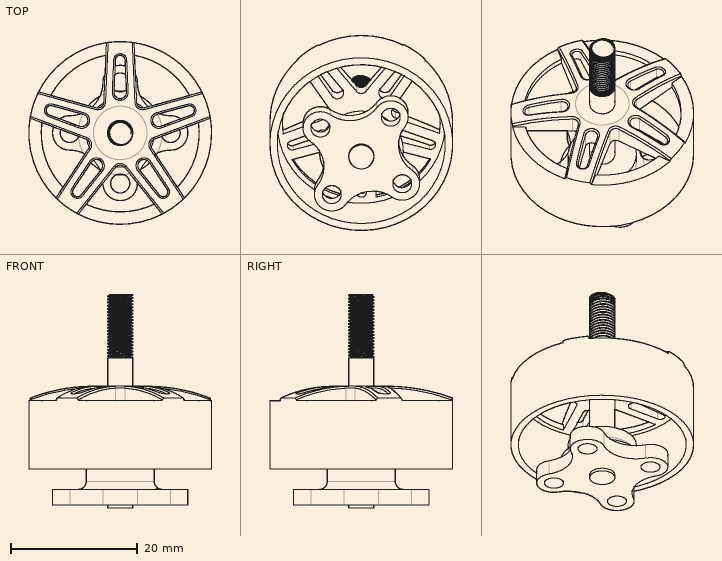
import cadquery as cq
import math

flange_top = 2.5
bell_bottom = 5.7
boss_top = bell_bottom
rim_top = 16.55
dome_top = 18.85
thread_start = 23.35
shaft_bottom = -0.5
shaft_top = 33.35

shaft_radius = 2.0
thread_root_radius = 3.36 / 2
thread_pitch = 0.5
crest_flat = 0.1
root_flat = 0.1

ear_count = 4
ear_pitch_radius = 8.0
ear_radius = 2.75
mount_hole_diameter = 3.0
boss_radius = 10.82 / 2
flare_radius = 1.25

bell_radius = 14.5
bore_radius = 26.63 / 2
lip_radius = 12.5
spoke_bottom = 15.5
dome_flat_radius = 4.25
dome_curvature_radius = 2 * bell_radius
spoke_count = 5
spider_radius = bell_radius + 1
first_spoke_angle = 90
spoke_root_half_width = 2.83
spoke_taper = 2.55
window_corner_radius = 0.95
slot_wall = 1.56
slot_inner_tip = 5.45
slot_outer_tip = 12.3
edge_chamfer = 0.28


def cylinder(radius, bottom, top):
    """Solid cylinder on the motor axis between two heights."""
    return cq.Workplane("XY", origin=(0, 0, bottom)).circle(radius).extrude(top - bottom)


def make_thread_ridge():
    """Right-handed helical ridge, clipped flat at both ends of the threaded length."""
    embed = 0.1
    depth = shaft_radius - thread_root_radius
    flank_slope = (thread_pitch - crest_flat - root_flat) / 2 / depth
    crest_half = crest_flat / 2
    foot_half = crest_half + flank_slope * (depth + embed)
    foot_radius = thread_root_radius - embed

    thread_length = shaft_top - thread_start
    helix = cq.Wire.makeHelix(thread_pitch, thread_length + 2 * thread_pitch, thread_root_radius)
    ridge = (
        cq.Workplane("XZ")
        .polyline([
            (foot_radius, -foot_half),
            (shaft_radius, -crest_half),
            (shaft_radius, crest_half),
            (foot_radius, foot_half),
        ])
        .close()
        .sweep(cq.Workplane(obj=helix), isFrenet=True)
        .translate((0, 0, thread_start - thread_pitch))
    )
    return ridge.intersect(cylinder(2 * shaft_radius, thread_start, shaft_top))


def make_shaft():
    """Plain shank with a threaded upper end."""
    shank = cylinder(shaft_radius, shaft_bottom, thread_start)
    thread_core = cylinder(thread_root_radius, thread_start, shaft_top)
    return thread_core.union(make_thread_ridge()).union(shank)


def make_base():
    """Flange with mounting ears and the boss that carries the shaft."""
    waist_radius = ear_pitch_radius - ear_radius
    ear_centres = cq.Workplane("XY").polarArray(ear_pitch_radius, 0, 360, ear_count)
    side = 2 * ear_pitch_radius
    square = cq.Workplane("XY").rect(side, side).extrude(flange_top)
    corners = cq.Workplane("XY").rect(side, side, forConstruction=True).vertices()
    scoops = corners.circle(waist_radius).extrude(flange_top)
    ears = ear_centres.circle(ear_radius).extrude(flange_top)
    flange = square.cut(scoops).union(ears)

    flare_top = flange_top + flare_radius
    flare_bend = flare_radius * (1 - math.sqrt(0.5))
    neck = (
        cq.Workplane("XZ")
        .lineTo(waist_radius, 0)
        .lineTo(waist_radius, flange_top)
        .lineTo(boss_radius + flare_radius, flange_top)
        .threePointArc(
            (boss_radius + flare_bend, flange_top + flare_bend),
            (boss_radius, flare_top),
        )
        .lineTo(boss_radius, boss_top)
        .lineTo(0, boss_top)
        .close()
        .revolve()
    )
    mount_holes = ear_centres.circle(mount_hole_diameter / 2).extrude(flange_top)
    shaft_hole = cylinder(shaft_radius, 0, boss_top)
    return flange.union(neck).cut(mount_holes).cut(shaft_hole)


def dome_height(radius):
    """Height of the dome arc, which leaves the flat hub face tangentially."""
    run = radius - dome_flat_radius
    return dome_top - dome_curvature_radius + math.sqrt(dome_curvature_radius**2 - run**2)


def make_window():
    """Wedge between two spokes, centred on +X, with a rounded inner corner."""
    half_angle = math.radians(180 / spoke_count + spoke_taper)
    wall_offset = spoke_root_half_width * math.cos(math.radians(spoke_taper))
    apex = wall_offset / math.sin(half_angle)
    reach = 2 * bell_radius
    spread = (reach - apex) * math.tan(half_angle)
    return (
        cq.Workplane("XY", origin=(0, 0, spoke_bottom))
        .polyline([(apex, 0), (reach, -spread), (reach, spread)])
        .close()
        .extrude(dome_top - spoke_bottom)
        .edges("|Z and <X")
        .fillet(window_corner_radius)
    )


def make_slot():
    """Tapered slot along +X with round ends and sides parallel to the spoke sides."""
    taper = math.radians(spoke_taper)
    axis_offset = spoke_root_half_width * math.cos(taper) - slot_wall
    inner_radius = (axis_offset - slot_inner_tip * math.sin(taper)) / (1 + math.sin(taper))
    outer_radius = (axis_offset - slot_outer_tip * math.sin(taper)) / (1 - math.sin(taper))
    inner_x = slot_inner_tip + inner_radius
    outer_x = slot_outer_tip - outer_radius

    def tangent_point(centre, radius, side):
        return (centre + radius * math.sin(taper), side * radius * math.cos(taper))

    return (
        cq.Workplane("XY", origin=(0, 0, spoke_bottom))
        .moveTo(*tangent_point(inner_x, inner_radius, -1))
        .lineTo(*tangent_point(outer_x, outer_radius, -1))
        .threePointArc((slot_outer_tip, 0), tangent_point(outer_x, outer_radius, 1))
        .lineTo(*tangent_point(inner_x, inner_radius, 1))
        .threePointArc((slot_inner_tip, 0), tangent_point(inner_x, inner_radius, -1))
        .close()
        .extrude(dome_top - spoke_bottom)
    )


def is_spoke_edge(edge):
    """True for the edges where window and slot walls meet the dome."""
    tolerance = 0.01
    middle = edge.positionAt(0.5)
    radius = math.hypot(middle.x, middle.y)
    on_dome = abs(middle.z - dome_height(radius)) < tolerance
    return on_dome and dome_flat_radius + tolerance < radius < spider_radius - tolerance


def make_spider():
    """Domed plate cut into slotted spokes with chamfered edges, reaching past the bell wall."""
    mid_radius = (dome_flat_radius + spider_radius) / 2
    spider = (
        cq.Workplane("XZ")
        .moveTo(0, spoke_bottom)
        .lineTo(spider_radius, spoke_bottom)
        .lineTo(spider_radius, dome_height(spider_radius))
        .threePointArc((mid_radius, dome_height(mid_radius)), (dome_flat_radius, dome_top))
        .lineTo(0, dome_top)
        .close()
        .revolve()
    )
    window = make_window()
    slot = make_slot()
    for spoke in range(spoke_count):
        spoke_angle = first_spoke_angle + spoke * 360 / spoke_count
        window_angle = spoke_angle + 180 / spoke_count
        spider = spider.cut(window.rotate((0, 0, 0), (0, 0, 1), window_angle))
        spider = spider.cut(slot.rotate((0, 0, 0), (0, 0, 1), spoke_angle))
    spoke_edges = [edge for edge in spider.edges().vals() if is_spoke_edge(edge)]
    return spider.newObject(spoke_edges).chamfer(edge_chamfer)


def make_bell():
    """Cup whose end is trimmed to the spokes and to the flat rim around them."""
    bore = cylinder(bore_radius, bell_bottom, spoke_bottom)
    cup = cylinder(bell_radius, bell_bottom, dome_top).cut(bore)
    opening = cylinder(lip_radius, bell_bottom, rim_top)
    rim = cylinder(spider_radius, bell_bottom, rim_top).cut(opening)
    bell = cup.intersect(rim.union(make_spider()))
    return bell.cut(cylinder(shaft_radius, spoke_bottom, dome_top))


shaft = make_shaft()
base = make_base()
bell = make_bell()

result = cq.Compound.makeCompound([shaft.val(), base.val(), bell.val()])